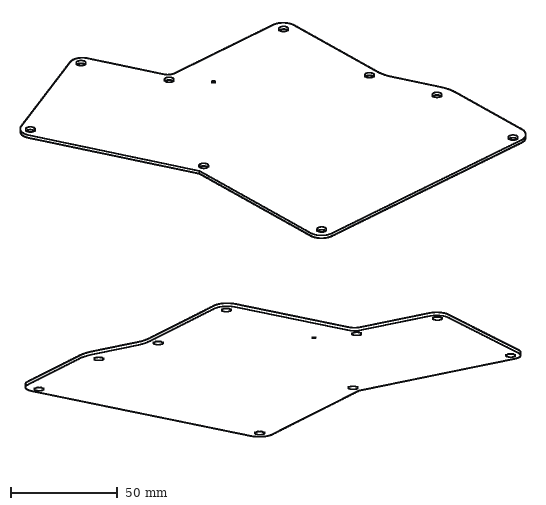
import cadquery as cq
import math

thickness = 1.59
length_x = 196.54
length_y = 173.04

right_edge = length_x / 2
top_edge = length_y / 2
step_edge = 72.4
left_edge = -56.8
bottom_edge = -49.4

wing_angle = 25.0
wing_end = -99.89
wing_lower_side = -51.13
wing_upper_side = 23.15

ramp_start_x = 11.3

panel_corner_radius = 7.0
wing_corner_radius = 6.2
inner_corner_radius = 5.0
ramp_foot_radius = 18.0
ramp_head_radius = 19.0

screw_hole_diameter = 4.5
pin_hole_diameter = 1.6
pin_hole = (-38.7, 10.05)
wing_hole_inset = 5.1
panel_screw_holes = [
    (-50.75, 66.5),
    (7.1, 67.5),
    (41.6, 78.6),
    (93.9, 78.45),
    (92.45, -43.4),
    (13.0, -44.75),
    (-54.3, -3.8),
]

cos_wing = math.cos(math.radians(wing_angle))
sin_wing = math.sin(math.radians(wing_angle))
tan_wing = math.tan(math.radians(wing_angle))


def wing_point(along, across):
    """Plate coordinates of a point given along and across the wing."""
    return (along * cos_wing - across * sin_wing, along * sin_wing + across * cos_wing)


def make_plate():
    """Extrude the sharp-cornered outline, then round its corners."""
    foot_of_ramp = (ramp_start_x, step_edge)
    head_of_ramp = (ramp_start_x + (top_edge - step_edge) / tan_wing, top_edge)
    top_right = (right_edge, top_edge)
    bottom_right = (right_edge, bottom_edge)
    wing_meets_bottom = ((bottom_edge - wing_lower_side / cos_wing) / tan_wing, bottom_edge)
    wing_tip_lower = wing_point(wing_end, wing_lower_side)
    wing_tip_upper = wing_point(wing_end, wing_upper_side)
    wing_meets_left = (left_edge, left_edge * tan_wing + wing_upper_side / cos_wing)
    top_left = (left_edge, step_edge)

    outline = [
        foot_of_ramp, head_of_ramp, top_right, bottom_right, wing_meets_bottom,
        wing_tip_lower, wing_tip_upper, wing_meets_left, top_left,
    ]
    rounded_corners = [
        (foot_of_ramp, ramp_foot_radius),
        (head_of_ramp, ramp_head_radius),
        (top_right, panel_corner_radius),
        (bottom_right, panel_corner_radius),
        (wing_tip_lower, wing_corner_radius),
        (wing_tip_upper, wing_corner_radius),
        (wing_meets_left, inner_corner_radius),
        (top_left, panel_corner_radius),
    ]

    plate = cq.Workplane("XY").polyline(outline).close().extrude(thickness)
    for (x, y), radius in rounded_corners:
        corner = cq.selectors.NearestToPointSelector((x, y, thickness / 2))
        plate = plate.edges("|Z").edges(corner).fillet(radius)
    return plate


def drill(plate, centres, diameter):
    """Cut round holes of one size right through the plate."""
    holes = cq.Workplane("XY").pushPoints(centres).circle(diameter / 2).extrude(thickness)
    return plate.cut(holes)


wing_screw_holes = [
    wing_point(wing_end + wing_hole_inset, wing_lower_side + wing_hole_inset),
    wing_point(wing_end + wing_hole_inset, wing_upper_side - wing_hole_inset),
]

result = make_plate()
result = drill(result, panel_screw_holes + wing_screw_holes, screw_hole_diameter)
result = drill(result, [pin_hole], pin_hole_diameter)